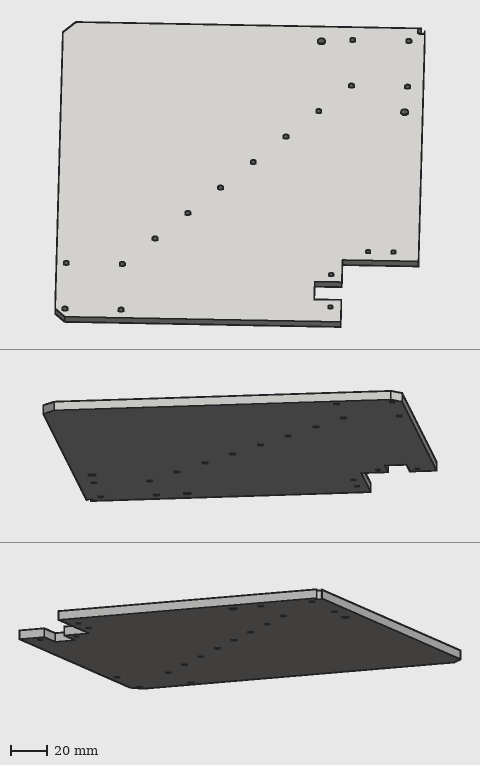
import cadquery as cq
import math

plate_side = 200.0
thickness = 5.0
half_side = plate_side / 2
half_diagonal = plate_side / math.sqrt(2)

recess_side = 42.0
recess_edge = half_side - recess_side
recess_middle = half_side - recess_side / 2

slot_width = 12.0
slot_depth = 15.0

overall_width = 248.1
right_reach = (half_side + recess_edge) / math.sqrt(2)
left_flat_setback = half_diagonal + right_reach - overall_width
bottom_flat_setback = 5.5 / math.sqrt(2)

large_diameter = 4.0
corner_hole_inset = large_diameter / 2
top_flat_setback = corner_hole_inset / math.sqrt(2)

large_hole_inset = 10.0
large_hole_edge_distance = 57.0

screw_diameter = 3.0
motor_hole_pitch = 31.0
motor_hole_radius = motor_hole_pitch / math.sqrt(2)
lower_motor_inset = 21.0

row_pitch = 25.0
row_intervals = 7

small_diameter = 2.5
small_hole_inset = 6.0
upper_pair_pitch = 14.0
lower_pair_pitch = 22.0


def plate_point(across, up):
    """Turn coordinates along the plate edges into X and Y."""
    return ((across + up) / math.sqrt(2), (up - across) / math.sqrt(2))


def square_plate():
    """Full square plate with the stepped recess and its slot."""
    slot_left = recess_middle - slot_width / 2
    slot_right = recess_middle + slot_width / 2
    slot_floor = recess_edge - slot_depth
    corners = [
        (-half_side, -half_side),
        (half_side, -half_side),
        (half_side, recess_edge),
        (slot_right, recess_edge),
        (slot_right, slot_floor),
        (slot_left, slot_floor),
        (slot_left, recess_edge),
        (recess_edge, recess_edge),
        (recess_edge, half_side),
        (-half_side, half_side),
    ]
    outline = [plate_point(across, up) for across, up in corners]
    return cq.Workplane("XY").polyline(outline).close().extrude(thickness)


def corner_limits():
    """Block whose left, bottom and top sides form the corner flats."""
    left = -half_diagonal + left_flat_setback
    bottom = -half_diagonal + bottom_flat_setback
    top = half_diagonal - top_flat_setback
    block = cq.Workplane("XY").box(half_diagonal - left, top - bottom, thickness, centered=False)
    return block.translate((left, bottom, 0))


def through_holes(centres, diameter):
    return cq.Workplane("XY").pushPoints(centres).circle(diameter / 2).extrude(thickness)


def motor_hole_centres(motor_y):
    return [
        (-motor_hole_radius, motor_y),
        (motor_hole_radius, motor_y),
        (0, motor_y - motor_hole_radius),
        (0, motor_y + motor_hole_radius),
    ]


def screw_hole_centres():
    """Both motor mounts, and the row between their facing holes."""
    lower_motor_y = -half_diagonal + lower_motor_inset * math.sqrt(2)
    row_start = lower_motor_y + motor_hole_radius
    upper_motor_y = row_start + row_intervals * row_pitch + motor_hole_radius
    row = [(0, row_start + i * row_pitch) for i in range(1, row_intervals)]
    return motor_hole_centres(lower_motor_y) + motor_hole_centres(upper_motor_y) + row


def large_hole_centres():
    """Corner hole and the mirrored pair below it."""
    corner = half_side - corner_hole_inset
    near = half_side - large_hole_edge_distance
    far = half_side - large_hole_inset
    return [plate_point(-corner, corner), plate_point(-near, far), plate_point(-far, near)]


def small_hole_centres():
    line = recess_edge - small_hole_inset
    centres = []
    for side in (-1, 1):
        centres.append(plate_point(line, recess_middle + side * upper_pair_pitch / 2))
        centres.append(plate_point(recess_middle + side * lower_pair_pitch / 2, line))
    return centres


plate = square_plate().intersect(corner_limits())
plate = plate.cut(through_holes(screw_hole_centres(), screw_diameter))
plate = plate.cut(through_holes(large_hole_centres(), large_diameter))
plate = plate.cut(through_holes(small_hole_centres(), small_diameter))

result = plate